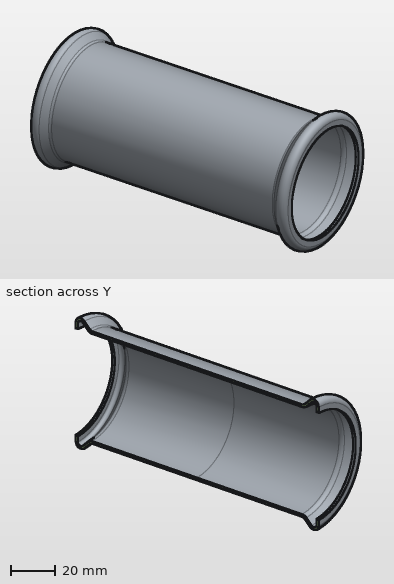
import cadquery as cq
import math

length = 139.0
tube_diameter = 57.0
rim_diameter = 66.0
wall = 1.5
bead_radius = 3.0
neck_radius = 1.8

tube_radius = tube_diameter / 2
bore_radius = tube_radius - wall
bead_center_r = rim_diameter / 2 - bead_radius
neck_center_r = tube_radius + neck_radius

bead_center_depth = bead_radius
radial_gap = bead_center_r - neck_center_r
neck_depth = bead_center_depth + radial_gap + math.sqrt(2) * (bead_radius + neck_radius)


def arc_point(depth, center_r, radius, angle):
    """Point on a bend; the angle runs from the inward X direction towards larger radii."""
    a = math.radians(angle)
    return (depth + radius * math.cos(a), center_r + radius * math.sin(a))


def bead_point(radius, angle):
    return arc_point(bead_center_depth, bead_center_r, radius, angle)


def neck_point(radius, angle):
    return arc_point(neck_depth, neck_center_r, radius, angle)


def half_sleeve():
    """Revolve one half of the wall, from its end face at X = 0 to the middle plane."""
    inner_bead = bead_radius - wall
    outer_neck = neck_radius
    inner_neck = neck_radius + wall
    middle = length / 2
    profile = (
        cq.Workplane("XY")
        .moveTo(0, bore_radius)
        .lineTo(*bead_point(bead_radius, 180))
        .threePointArc(bead_point(bead_radius, 112.5), bead_point(bead_radius, 45))
        .lineTo(*neck_point(outer_neck, 225))
        .threePointArc(neck_point(outer_neck, 247.5), neck_point(outer_neck, 270))
        .lineTo(middle, tube_radius)
        .lineTo(middle, bore_radius)
        .lineTo(*neck_point(inner_neck, 270))
        .threePointArc(neck_point(inner_neck, 247.5), neck_point(inner_neck, 225))
        .lineTo(*bead_point(inner_bead, 45))
        .threePointArc(bead_point(inner_bead, 112.5), bead_point(inner_bead, 180))
        .lineTo(wall, bore_radius)
        .close()
    )
    return profile.revolve(360, (0, 0, 0), (1, 0, 0))


left_half = half_sleeve().translate((-length / 2, 0, 0))
right_half = left_half.mirror("YZ")
result = left_half.union(right_half, clean=True)